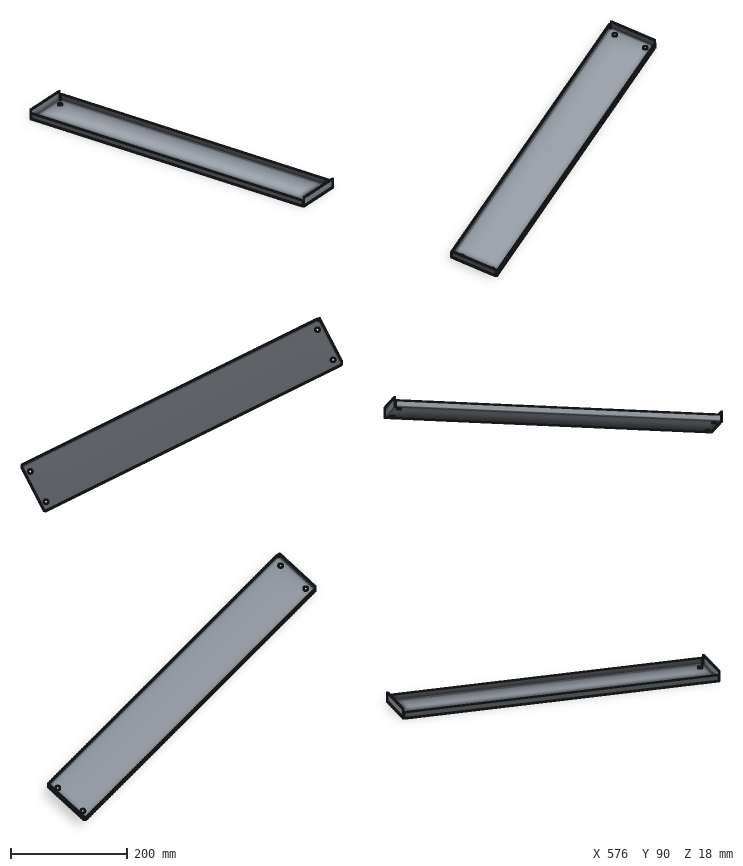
import cadquery as cq

length = 576.0
width = 90.0
end_height = 18.0
side_height = 12.0
sheet = 1.0
bend_radius = 2.0

corner_gap = 2.0

hole_diameter = 7.5
hole_spacing_x = 554.5
hole_spacing_y = 60.0


def rounded_bar(plane, span, run, floor_level, radius):
    """Bar along the plane's normal, rounded along its two lower edges and taller than any wall."""
    bar_height = 2 * end_height
    return (
        cq.Workplane(plane)
        .center(0, floor_level + bar_height / 2)
        .rect(span, bar_height)
        .extrude(run / 2, both=True)
        .faces("<Z")
        .edges("|Y" if plane == "XZ" else "|X")
        .fillet(radius)
    )


def channel(plane, span, height, run):
    """Bent U-shaped sheet with its floor underside at Z = 0, running along the plane's normal."""
    outside = rounded_bar(plane, span, run, 0, bend_radius)
    inside = rounded_bar(plane, span - 2 * sheet, run, sheet, bend_radius - sheet)
    height_limit = cq.Workplane("XY").box(length, width, height, centered=(True, True, False))
    return outside.cut(inside).intersect(height_limit)


end_walls = channel("XZ", length, end_height, width - 2 * corner_gap)
side_walls = channel("YZ", width, side_height, length - 2 * corner_gap)
tray = end_walls.union(side_walls)

holes = (
    cq.Workplane("XY")
    .rect(hole_spacing_x, hole_spacing_y, forConstruction=True)
    .vertices()
    .circle(hole_diameter / 2)
    .extrude(sheet)
)

result = tray.cut(holes)